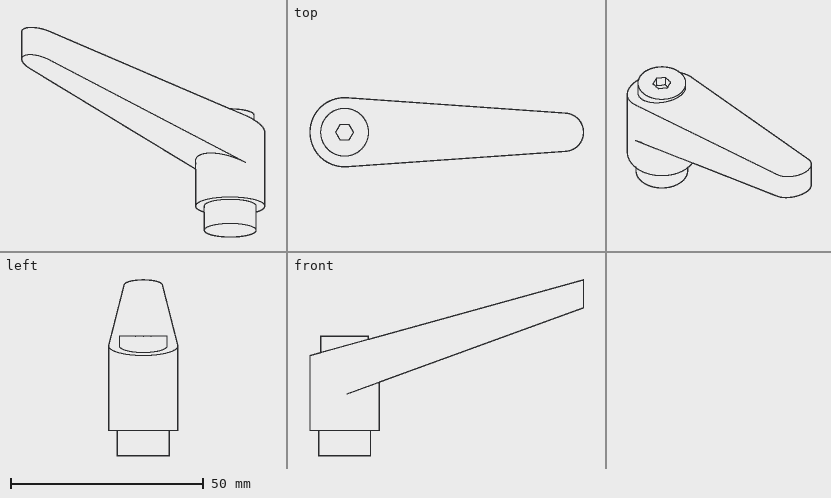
import cadquery as cq
import math

hub_radius = 9.0
collar_diameter = 13.5
collar_height = 6.5

total_length = 71.0
tip_radius = 5.0
total_height = 45.66
tip_x = total_length - hub_radius
tip_center_x = tip_x - tip_radius

hub_low_height = 26.0
top_slope = (total_height - hub_low_height) / total_length

tip_thickness = 7.3
underside_angle = 20.0

screw_diameter = 12.4
screw_top = 31.0
socket_sides = 6
socket_across_flats = 4.0
socket_depth = 2.5
socket_cone_angle = 118.0


def top_height(x):
    """Height of the sloping top face at a given X."""
    return hub_low_height + top_slope * (x + hub_radius)


def underside_height(x):
    """Height of the arm's sloping underside at a given X."""
    tip_bottom = total_height - tip_thickness
    return tip_bottom - math.tan(math.radians(underside_angle)) * (tip_x - x)


flank_sine = (hub_radius - tip_radius) / tip_center_x
flank_cosine = math.sqrt(1.0 - flank_sine**2)
hub_tangent_x = hub_radius * flank_sine
hub_tangent_y = hub_radius * flank_cosine
tip_tangent_x = tip_center_x + tip_radius * flank_sine
tip_tangent_y = tip_radius * flank_cosine


def make_hub():
    """Round hub cut off by the sloping top face."""
    hub = (
        cq.Workplane("XY")
        .workplane(offset=collar_height)
        .circle(hub_radius)
        .extrude(total_height - collar_height)
    )
    side_profile = (
        cq.Workplane("XZ")
        .moveTo(-hub_radius, 0)
        .lineTo(-hub_radius, top_height(-hub_radius))
        .lineTo(hub_radius, top_height(hub_radius))
        .lineTo(hub_radius, 0)
        .close()
        .extrude(hub_radius, both=True)
    )
    return hub.intersect(side_profile)


def make_arm():
    """Tapered arm: plan outline trimmed by the sloping top and underside."""
    plan = (
        cq.Workplane("XY")
        .moveTo(hub_tangent_x, hub_tangent_y)
        .lineTo(tip_tangent_x, tip_tangent_y)
        .threePointArc((tip_x, 0), (tip_tangent_x, -tip_tangent_y))
        .lineTo(hub_tangent_x, -hub_tangent_y)
        .close()
        .extrude(total_height)
    )
    side_profile = (
        cq.Workplane("XZ")
        .moveTo(hub_tangent_x, underside_height(hub_tangent_x))
        .lineTo(tip_x, underside_height(tip_x))
        .lineTo(tip_x, top_height(tip_x))
        .lineTo(hub_tangent_x, top_height(hub_tangent_x))
        .close()
        .extrude(hub_radius, both=True)
    )
    return plan.intersect(side_profile)


def make_collar():
    """Plain round collar below the hub."""
    return cq.Workplane("XY").circle(collar_diameter / 2).extrude(collar_height)


def make_screw_head():
    """Cylindrical screw head, standing up out of the sloping top face."""
    return (
        cq.Workplane("XY")
        .workplane(offset=collar_height)
        .circle(screw_diameter / 2)
        .extrude(screw_top - collar_height)
    )


def make_socket():
    """Hexagon socket ending in a drill-point cone."""
    corner_radius = socket_across_flats / 2 / math.cos(math.pi / socket_sides)
    cone_depth = corner_radius / math.tan(math.radians(socket_cone_angle / 2))
    hexagon = (
        cq.Workplane("XY")
        .workplane(offset=screw_top - socket_depth - cone_depth)
        .polygon(socket_sides, 2 * corner_radius)
        .extrude(socket_depth + cone_depth)
    )
    drill = (
        cq.Workplane("XZ")
        .moveTo(0, screw_top - socket_depth - cone_depth)
        .lineTo(corner_radius, screw_top - socket_depth)
        .lineTo(corner_radius, screw_top)
        .lineTo(0, screw_top)
        .close()
        .revolve(360, (0, 0), (0, 1))
    )
    return hexagon.intersect(drill)


result = (
    make_hub()
    .union(make_arm())
    .union(make_collar())
    .union(make_screw_head())
    .cut(make_socket())
)